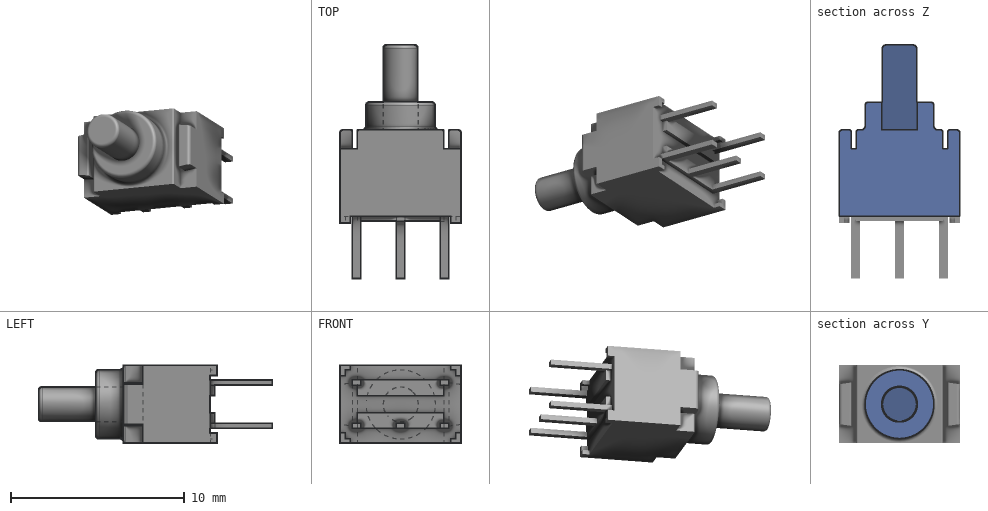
import cadquery as cq


body_width = 7.0
body_height = 4.5
body_length = 5.0
half_width = body_width / 2
half_height = body_height / 2

center_block_width = 5.0
center_block_fillet = 0.1
shoulder_depth = 1.1
tab_thickness = 0.72
tab_outer_height = 2.3
tab_inner_height = 2.5
tab_outer_fillet = 0.2
tab_inner_fillet = 0.1

bushing_diameter = 4.0
bushing_length = 1.6
bushing_rim_fillet = 0.2
bushing_root_fillet = 0.2
bore_diameter = 2.03
bushing_end = body_length + bushing_length

foot_height = 0.4
foot_leg_length = 0.6
foot_leg_x_thickness = 0.3
foot_leg_z_thickness = 0.25

terminal_pitch = 2.54
terminal_row_spacing = 2.5
terminal_width = 0.5
terminal_thickness = 0.3
terminal_length = 3.6
terminal_row_z = terminal_row_spacing / 2
terminal_places = [
    (-terminal_pitch, terminal_row_z),
    (terminal_pitch, terminal_row_z),
    (-terminal_pitch, -terminal_row_z),
    (0, -terminal_row_z),
    (terminal_pitch, -terminal_row_z),
]

bar_width = 5.0
bar_height = 0.28
bar_inner_z = 0.5
bar_outer_z = terminal_row_z + terminal_thickness / 2

plunger_diameter = 2.0
plunger_stroke_length = 3.3
plunger_tip_fillet = 0.2
plunger_length = bushing_length + plunger_stroke_length


def box(x_range, y_range, z_range):
    """Box between the given limits on each axis."""
    (x0, x1), (y0, y1), (z0, z1) = x_range, y_range, z_range
    return cq.Workplane("XY").box(x1 - x0, y1 - y0, z1 - z0, centered=False).translate((x0, y0, z0))


def along_y(start):
    """Workplane at Y = start, extruding toward +Y, with local x along -X and local y along Z."""
    return cq.Workplane(cq.Plane(origin=(0, start, 0), xDir=(-1, 0, 0), normal=(0, 1, 0)))


def make_terminal(x, z):
    """Straight rectangular terminal standing on the terminal face."""
    return box(
        (x - terminal_width / 2, x + terminal_width / 2),
        (-terminal_length, 0),
        (z - terminal_thickness / 2, z + terminal_thickness / 2),
    )


def make_tab(side):
    """Tab at the shoulder, tapering outward in Z, with rounded end edges."""
    outer_x = side * half_width
    inner_x = side * (half_width - tab_thickness)
    floor_y = body_length - shoulder_depth
    tab = (
        cq.Workplane(cq.Plane(origin=(0, floor_y, 0), xDir=(1, 0, 0), normal=(0, 1, 0)))
        .polyline([
            (outer_x, -tab_outer_height / 2),
            (outer_x, tab_outer_height / 2),
            (inner_x, tab_inner_height / 2),
            (inner_x, -tab_inner_height / 2),
        ])
        .close()
        .extrude(shoulder_depth)
    )
    outer_edge, inner_edge = (">X", "<X") if side > 0 else ("<X", ">X")
    tab = tab.faces(">Y").edges(outer_edge).fillet(tab_outer_fillet)
    return tab.faces(">Y").edges(inner_edge).fillet(tab_inner_fillet)


def make_foot(side_x, side_z):
    """L-shaped corner foot below the terminal face."""
    outline = [
        (0, 0),
        (foot_leg_length, 0),
        (foot_leg_length, foot_leg_z_thickness),
        (foot_leg_x_thickness, foot_leg_z_thickness),
        (foot_leg_x_thickness, foot_leg_length),
        (0, foot_leg_length),
    ]
    corner_points = [(side_x * (half_width - x), side_z * (half_height - z)) for x, z in outline]
    return cq.Workplane("XZ").polyline(corner_points).close().extrude(foot_height)


def make_bar(side_z):
    """Raised bar on the terminal face behind one terminal row."""
    z_limits = sorted((side_z * bar_inner_z, side_z * bar_outer_z))
    return box((-bar_width / 2, bar_width / 2), (-bar_height, 0), z_limits)


def make_bushing():
    """Round bushing with a rounded rim and a flared root, on the shoulder."""
    radius = bushing_diameter / 2
    flare_radius = radius + bushing_root_fillet
    bushing = along_y(body_length).circle(radius).extrude(bushing_length)
    bushing = bushing.faces(">Y").edges().fillet(bushing_rim_fillet)
    root_center = (flare_radius, body_length + bushing_root_fillet)
    diagonal = bushing_root_fillet * 0.5 ** 0.5
    flare = (
        cq.Workplane("XY")
        .moveTo(0, body_length)
        .lineTo(flare_radius, body_length)
        .threePointArc(
            (root_center[0] - diagonal, root_center[1] - diagonal),
            (radius, root_center[1]),
        )
        .lineTo(0, root_center[1])
        .close()
        .revolve(360, (0, 0, 0), (0, 1, 0))
    )
    return bushing.union(flare)


def make_housing():
    """Block, tabs, bushing, feet and bars as one solid, recessed for plunger and terminals."""
    floor_y = body_length - shoulder_depth
    housing = box((-half_width, half_width), (0, floor_y), (-half_height, half_height))
    center_block = box(
        (-center_block_width / 2, center_block_width / 2),
        (floor_y, body_length),
        (-half_height, half_height),
    )
    center_block = center_block.faces(">Y").edges("|Z").fillet(center_block_fillet)
    housing = housing.union(center_block).union(make_bushing())
    for side_x in (-1, 1):
        housing = housing.union(make_tab(side_x))
        for side_z in (-1, 1):
            housing = housing.union(make_foot(side_x, side_z))
    for side_z in (-1, 1):
        housing = housing.union(make_bar(side_z))
    for x, z in terminal_places:
        housing = housing.cut(make_terminal(x, z))
    bore = along_y(body_length).circle(bore_diameter / 2).extrude(bushing_length)
    return housing.cut(bore)


def make_plunger():
    """Round plunger seated on the bottom of the bushing bore."""
    plunger = along_y(body_length).circle(plunger_diameter / 2).extrude(plunger_length)
    return plunger.faces(">Y").edges().fillet(plunger_tip_fillet)


housing = make_housing()
plunger = make_plunger()
terminals = [make_terminal(x, z).val() for x, z in terminal_places]

result = cq.Compound.makeCompound([housing.val(), plunger.val(), *terminals])